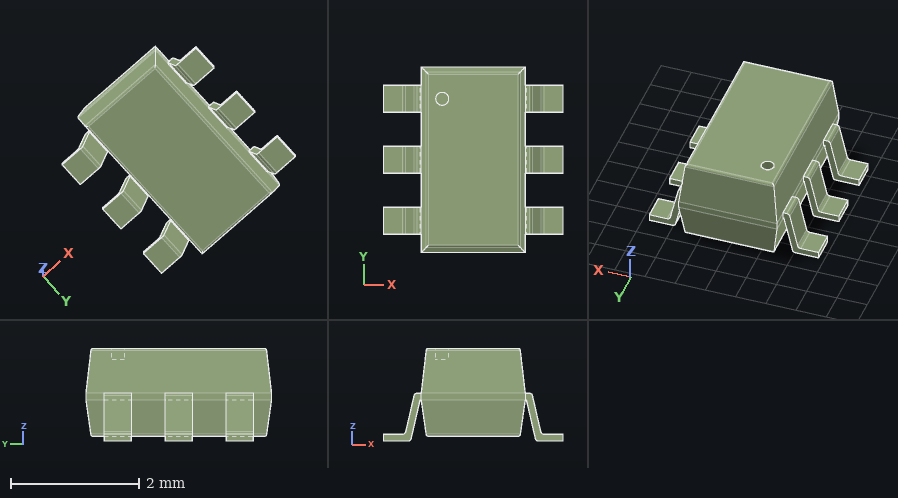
import cadquery as cq
import math

housing_width = 1.627
housing_length = 2.9
housing_bottom = 0.075
housing_top = 1.45
draft_inset = 0.08
edge_radius = 0.04

mark_diameter = 0.203
mark_depth = 0.175
mark_x = -0.485

lead_span = 2.8
lead_thickness = 0.11
lead_width = 0.425
lead_pitch = 0.95
leads_per_side = 3
lead_top = 0.75
leg_angle = 13.0
shoulder_x = 0.915
bend_radius = 0.052

band_top = lead_top
band_bottom = lead_top - lead_thickness
mark_y = lead_pitch


def drafted_half(band_z, end_z):
    """Half of the housing, from the band to its smaller, rounded end face."""
    height = abs(end_z - band_z)
    direction = 1 if end_z > band_z else -1
    draft_angle = math.degrees(math.atan(draft_inset / height))
    half = (
        cq.Workplane("XY", origin=(0, 0, band_z))
        .rect(housing_width, housing_length)
        .extrude(direction * height, taper=draft_angle)
    )
    end_face = ">Z" if direction > 0 else "<Z"
    return half.faces(end_face).edges().fillet(edge_radius)


def make_housing():
    band = (
        cq.Workplane("XY", origin=(0, 0, band_bottom))
        .rect(housing_width, housing_length)
        .extrude(lead_thickness)
    )
    block = (
        band.union(drafted_half(band_top, housing_top))
        .union(drafted_half(band_bottom, housing_bottom))
    )
    mark = (
        cq.Workplane("XY", origin=(mark_x, mark_y, housing_top - mark_depth))
        .circle(mark_diameter / 2)
        .extrude(mark_depth)
    )
    return block.cut(mark)


def make_lead(side, center_y):
    """One lead on the +X (side = 1) or -X (side = -1) face of the housing."""
    slope = math.tan(math.radians(leg_angle))
    leg_run = lead_thickness / math.cos(math.radians(leg_angle))

    def leg_outer_x(z):
        return shoulder_x + (lead_top - z) * slope

    def leg_inner_x(z):
        return leg_outer_x(z) - leg_run

    outline = [
        (housing_width / 2, lead_top),
        (leg_outer_x(lead_top), lead_top),
        (leg_outer_x(lead_thickness), lead_thickness),
        (lead_span / 2, lead_thickness),
        (lead_span / 2, 0),
        (leg_inner_x(0), 0),
        (leg_inner_x(band_bottom), band_bottom),
        (housing_width / 2, band_bottom),
    ]
    strip = (
        cq.Workplane("XZ", origin=(0, center_y + lead_width / 2, 0))
        .polyline([(side * x, z) for x, z in outline])
        .close()
        .extrude(lead_width)
    )
    bends = [outline[1], outline[2], outline[5]]
    for x, z in bends:
        corner = cq.selectors.NearestToPointSelector((side * x, center_y, z))
        strip = strip.edges("|Y").edges(corner).fillet(bend_radius)
    return strip


housing = make_housing()

leads = []
for side in (-1, 1):
    for row in range(leads_per_side):
        center_y = (row - (leads_per_side - 1) / 2) * lead_pitch
        leads.append(make_lead(side, center_y))

result = cq.Compound.makeCompound([housing.val(), *[lead.val() for lead in leads]])